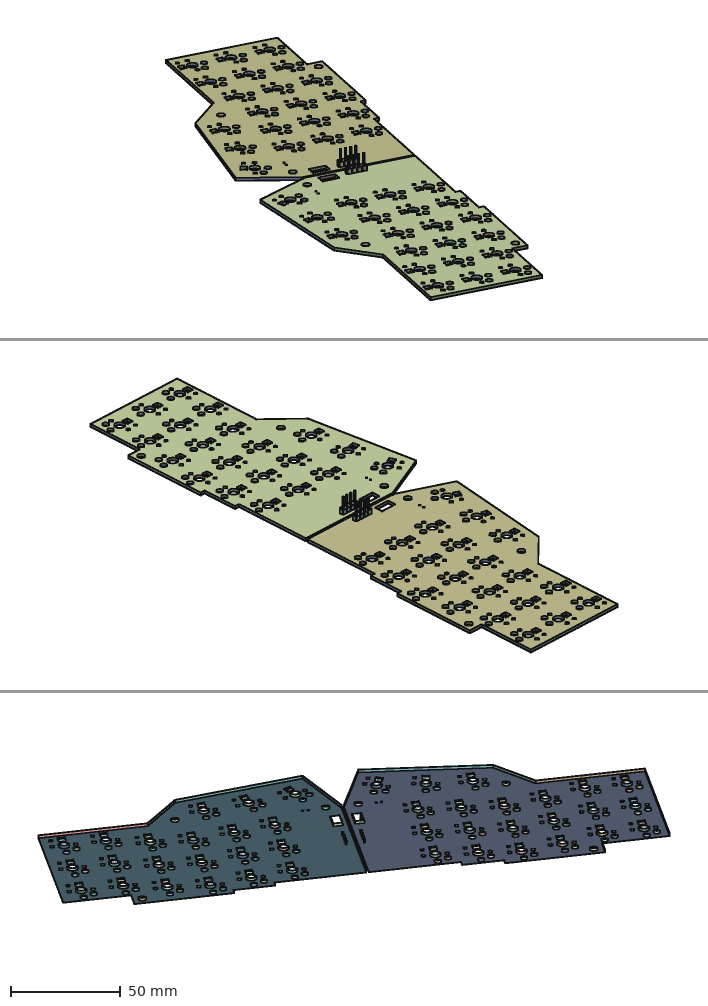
import cadquery as cq

LEFT, RIGHT = -1, 1

COLUMN_COUNT = 6
ROW_COUNT = 3
COLUMNS_SPAN = 97.5
KEY_PITCH = COLUMNS_SPAN / (COLUMN_COUNT - 1)
OUTER_COLUMN_X = 130.7
BOTTOM_ROW_Y = 8.5
STAGGER_STEP = 2.5
COLUMN_STAGGER_STEPS = [0, 0, 2, 3, 2, 1]
THUMB_KEYS = [(62.5, -7.5, 0), (41.0, -9.9, 12), (19.0, -13.0, 24)]

OVERALL_WIDTH = 281.7
OUTER_X = OVERALL_WIDTH / 2
BOARD_THICKNESS = 1.6
BOARD_GAP = 1.0
INNER_X = BOARD_GAP / 2
OUTER_TOP_Y = 56.0
HIGH_TOP_Y = OUTER_TOP_Y + 3 * STAGGER_STEP
MIDDLE_TOP_Y = OUTER_TOP_Y + 2 * STAGGER_STEP
INNER_TOP_Y = OUTER_TOP_Y + STAGGER_STEP
SHOULDER_X = 109.3
HIGH_END_X = OUTER_X - 4 * KEY_PITCH
MIDDLE_END_X = OUTER_X - 5 * KEY_PITCH
NECK_Y = 2.5
THUMB_TIP = (13.0, -25.4)
THUMB_KNEE = (73.8, -17.0)
OUTER_FOOT_X = 90.0

STEM_HOLE_DIAMETER = 5.0
GUIDE_HOLE_DIAMETER = 1.9
GUIDE_SPACING = 11.0
GUIDE_OFFSET = GUIDE_SPACING / 2
SOCKET_HOLE_DIAMETER = 3.0
SOCKET_HOLES = [(0, 6.0), (5.0, 4.0)]
PEG_HOLE_DIAMETER = 1.6
PEG_HOLE = (-5.0, -5.0)
LED_WINDOW_WIDTH = 3.5
LED_WINDOW_HEIGHT = 3.0
LED_WINDOW_Y = -5.0

SCREW_HOLE_DIAMETER = 3.7
SCREW_HOLES = [(104.8, 59.7), (77.0, -2.5), (7.5, 0.8)]
WIRE_HOLE_DIAMETER = 0.75
WIRE_HOLES = [(15.8, 1.5), (18.3, 1.5)]
SLOT_WIDTH = 4.5
SLOT_HEIGHT = 8.5
SLOT_CENTRE = (5.0, 13.0)

PIN_COUNT = 4
PIN_PITCH = 2.5
PIN_WIDTH = 0.65
PIN_LENGTH = 11.5
PIN_TOP_Z = 8.5
PIN_HOLE_DIAMETER = 1.0
HEADER_X, HEADER_Y = 4.2, 27.0
INSULATOR_CHAMFER = 0.3


def hole(x, y, diameter):
    """Solid that cuts a round hole through a board."""
    return cq.Workplane("XY").center(x, y).circle(diameter / 2).extrude(-BOARD_THICKNESS).val()


def window(x, y, width, height):
    """Solid that cuts a rectangular opening through a board."""
    return cq.Workplane("XY").center(x, y).rect(width, height).extrude(-BOARD_THICKNESS).val()


def board_blank(side):
    """Board without openings; its top edge steps with the column stagger."""
    corners = [
        (OUTER_X, 0),
        (OUTER_X, OUTER_TOP_Y),
        (SHOULDER_X, OUTER_TOP_Y),
        (SHOULDER_X, HIGH_TOP_Y),
        (HIGH_END_X, HIGH_TOP_Y),
        (HIGH_END_X, MIDDLE_TOP_Y),
        (MIDDLE_END_X, MIDDLE_TOP_Y),
        (MIDDLE_END_X, INNER_TOP_Y),
        (INNER_X, INNER_TOP_Y),
        (INNER_X, NECK_Y),
        THUMB_TIP,
        THUMB_KNEE,
        (OUTER_FOOT_X, 0),
    ]
    outline = [(side * x, y) for x, y in corners]
    return cq.Workplane("XY").polyline(outline).close().extrude(-BOARD_THICKNESS).val()


def switch_openings():
    """Every opening of one switch, centred on the origin."""
    return [
        hole(0, 0, STEM_HOLE_DIAMETER),
        hole(-GUIDE_OFFSET, 0, GUIDE_HOLE_DIAMETER),
        hole(GUIDE_OFFSET, 0, GUIDE_HOLE_DIAMETER),
        *[hole(x, y, SOCKET_HOLE_DIAMETER) for x, y in SOCKET_HOLES],
        hole(*PEG_HOLE, PEG_HOLE_DIAMETER),
        window(0, LED_WINDOW_Y, LED_WINDOW_WIDTH, LED_WINDOW_HEIGHT),
    ]


def key_places(side):
    """Location of every key; the keys are placed in mirror image but their footprint is not mirrored."""
    places = []
    for column, steps in enumerate(COLUMN_STAGGER_STEPS):
        x = OUTER_COLUMN_X - column * KEY_PITCH
        for row in range(ROW_COUNT):
            y = BOTTOM_ROW_Y + row * KEY_PITCH + steps * STAGGER_STEP
            places.append((x, y, 0))
    places += THUMB_KEYS
    up = cq.Vector(0, 0, 1)
    return [cq.Location(cq.Vector(side * x, y, 0), up, side * tilt) for x, y, tilt in places]


def pin_centres(side):
    first_y = HEADER_Y - (PIN_COUNT - 1) * PIN_PITCH / 2
    return [(side * HEADER_X, first_y + i * PIN_PITCH) for i in range(PIN_COUNT)]


def make_board(side):
    footprint = switch_openings()
    openings = [opening.moved(place) for place in key_places(side) for opening in footprint]
    openings += [hole(side * x, y, SCREW_HOLE_DIAMETER) for x, y in SCREW_HOLES]
    openings += [hole(side * x, y, WIRE_HOLE_DIAMETER) for x, y in WIRE_HOLES]
    openings += [hole(x, y, PIN_HOLE_DIAMETER) for x, y in pin_centres(side)]
    slot_x, slot_y = SLOT_CENTRE
    openings.append(window(side * slot_x, slot_y, SLOT_WIDTH, SLOT_HEIGHT))
    return cq.Workplane(obj=board_blank(side).cut(*openings))


def make_header(side):
    """Insulator of chamfered blocks standing on the board, with a square pin through each block."""
    header = cq.Workplane("XY")
    for x, y in pin_centres(side):
        block = (
            cq.Workplane("XY")
            .center(x, y)
            .rect(PIN_PITCH, PIN_PITCH)
            .extrude(PIN_PITCH)
            .edges("|Z")
            .chamfer(INSULATOR_CHAMFER)
        )
        pin = (
            cq.Workplane("XY", origin=(x, y, PIN_TOP_Z))
            .rect(PIN_WIDTH, PIN_WIDTH)
            .extrude(-PIN_LENGTH)
        )
        header = header.add(block).add(pin)
    return header.combine()


boards = [make_board(side) for side in (LEFT, RIGHT)]
headers = [make_header(side) for side in (LEFT, RIGHT)]

solids = [solid for body in boards + headers for solid in body.val().Solids()]
result = cq.Compound.makeCompound(solids)